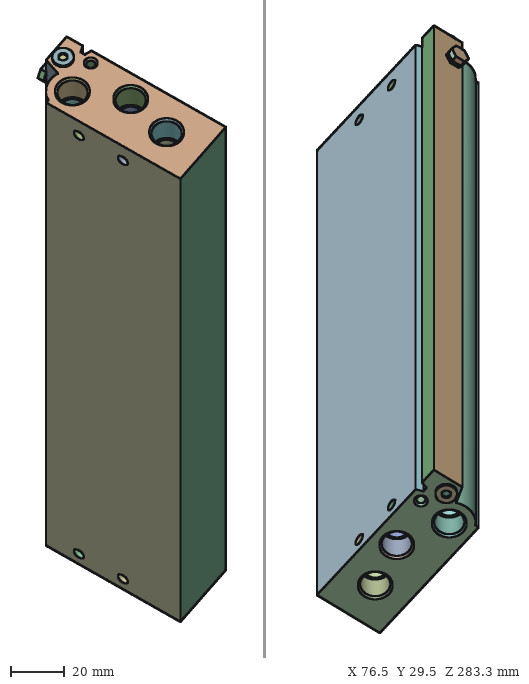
import cadquery as cq
import math

TOTAL_WIDTH = 76.5
TOTAL_LENGTH = 283.3
DEPTH = 29.5
SIDE_PLUG_HEIGHT = 3.7
END_PLUG_HEIGHT = 2.0
BLOCK_LENGTH = TOTAL_LENGTH - 2 * END_PLUG_HEIGHT
BLOCK_TOP = BLOCK_LENGTH / 2
BLOCK_LEFT = SIDE_PLUG_HEIGHT

BORE_CENTRES = [(20.0, 10.0), (40.0, 19.5), (59.8, 14.7)]
BORE_DIAMETER = 9.5
BORE_END_DIAMETER = 11.3
BORE_END_DEPTH = 11.3
BORE_MOUTH_DIAMETER = 13.0
BORE_MOUTH_DEPTH = (BORE_MOUTH_DIAMETER - BORE_END_DIAMETER) / 2

SHOULDER_RADIUS = 10.0
SHOULDER_TOP_Y = 13.5
SHOULDER_BOTTOM_Y = 1.7
FRONT_FACE_LEFT = 15.0
LEDGE_Y = 16.1

GROOVE_CENTRE_X = 13.0
GROOVE_MOUTH = 4.0
GROOVE_FLOOR = 2.0
GROOVE_DEPTH = 2.8

CHANNEL_CENTRE = (18.0, 24.6)
CHANNEL_DIAMETER = 3.5
CHANNEL_MOUTH_DIAMETER = 5.0
CHANNEL_MOUTH_DEPTH = (CHANNEL_MOUTH_DIAMETER - CHANNEL_DIAMETER) / 2

MOUNTING_HOLE_DIAMETER = 4.5
MOUNTING_HOLE_XS = (30.0, 50.1)
MOUNTING_HOLE_TOP_DISTANCE = 9.0
MOUNTING_HOLE_BOTTOM_DISTANCE = 6.5

PLUG_CENTRE_Y = 19.8
END_PLUG_X = 8.8
END_PLUG_DIAMETER = 8.2
END_PLUG_NECK_DIAMETER = 6.8
END_PLUG_NECK_LENGTH = 1.0
SOCKET_DIAMETER = 3.5
SOCKET_DEPTH = END_PLUG_HEIGHT - END_PLUG_NECK_LENGTH

SIDE_PLUG_CORNERS = 8.0
SIDE_PLUG_NECK_DIAMETER = 6.8
SIDE_PLUG_NECK_START = 0.5
SIDE_PLUG_NECK_LENGTH = 0.5
SIDE_PLUG_TOP_DISTANCE = 14.0


def shoulder_point(y):
    """Point on the left half of the shoulder circle at height y."""
    centre_x, centre_y = BORE_CENTRES[0]
    return centre_x - math.sqrt(SHOULDER_RADIUS**2 - (y - centre_y) ** 2), y


def block_blank():
    """Constant cross-section of the block, extruded over its length."""
    shoulder_left = (BORE_CENTRES[0][0] - SHOULDER_RADIUS, BORE_CENTRES[0][1])
    shoulder_bottom = shoulder_point(SHOULDER_BOTTOM_Y)
    return (
        cq.Workplane("XY", origin=(0, 0, -BLOCK_TOP))
        .moveTo(TOTAL_WIDTH, 0)
        .lineTo(TOTAL_WIDTH, DEPTH)
        .lineTo(GROOVE_CENTRE_X + GROOVE_MOUTH / 2, DEPTH)
        .lineTo(GROOVE_CENTRE_X + GROOVE_FLOOR / 2, DEPTH - GROOVE_DEPTH)
        .lineTo(GROOVE_CENTRE_X - GROOVE_FLOOR / 2, DEPTH - GROOVE_DEPTH)
        .lineTo(GROOVE_CENTRE_X - GROOVE_MOUTH / 2, DEPTH)
        .lineTo(BLOCK_LEFT, DEPTH)
        .lineTo(BLOCK_LEFT, LEDGE_Y)
        .lineTo(*shoulder_point(SHOULDER_TOP_Y))
        .threePointArc(shoulder_left, shoulder_bottom)
        .lineTo(FRONT_FACE_LEFT, SHOULDER_BOTTOM_Y)
        .lineTo(FRONT_FACE_LEFT, 0)
        .close()
        .extrude(BLOCK_LENGTH)
    )


def revolved_hole(centre, steps):
    """Cutter along Z, alike at both ends. Steps are (diameter, Z) pairs going up from mid-length."""
    upper = [(diameter / 2, z) for diameter, z in steps]
    lower = [(radius, -z) for radius, z in reversed(upper)]
    profile = [(0, -BLOCK_TOP), *lower, *upper, (0, BLOCK_TOP)]
    return (
        cq.Workplane("XZ", origin=(centre[0], centre[1], 0))
        .polyline(profile)
        .close()
        .revolve(360, (0, 0, 0), (0, 1, 0))
    )


def channel():
    """Cutter for the small channel, with a conical mouth at both ends of the block."""
    return revolved_hole(
        CHANNEL_CENTRE,
        [
            (CHANNEL_DIAMETER, BLOCK_TOP - CHANNEL_MOUTH_DEPTH),
            (CHANNEL_MOUTH_DIAMETER, BLOCK_TOP),
        ],
    )


def main_bore(centre):
    """Cutter for a main bore, widened near both ends and countersunk at its mouths."""
    return revolved_hole(
        centre,
        [
            (BORE_DIAMETER, BLOCK_TOP - BORE_END_DEPTH),
            (BORE_END_DIAMETER, BLOCK_TOP - BORE_END_DEPTH),
            (BORE_END_DIAMETER, BLOCK_TOP - BORE_MOUTH_DEPTH),
            (BORE_MOUTH_DIAMETER, BLOCK_TOP),
        ],
    )


def mounting_holes():
    """Cutters for the four holes through the depth, two near each end."""
    hole_zs = (MOUNTING_HOLE_BOTTOM_DISTANCE - BLOCK_TOP, BLOCK_TOP - MOUNTING_HOLE_TOP_DISTANCE)
    places = [(x, z) for x in MOUNTING_HOLE_XS for z in hole_zs]
    return (
        cq.Workplane("XZ")
        .pushPoints(places)
        .circle(MOUNTING_HOLE_DIAMETER / 2)
        .extrude(-DEPTH)
    )


def make_block():
    block = block_blank()
    for centre in BORE_CENTRES:
        block = block.cut(main_bore(centre))
    block = block.cut(channel())
    return block.cut(mounting_holes())


def make_end_plug(end):
    """Round plug seated on the top (end = 1) or bottom (end = -1) face, socket facing outward."""
    seat = cq.Plane(origin=(END_PLUG_X, PLUG_CENTRE_Y, end * BLOCK_TOP), xDir=(1, 0, 0), normal=(0, 0, end))
    neck = cq.Workplane(seat).circle(END_PLUG_NECK_DIAMETER / 2).extrude(END_PLUG_NECK_LENGTH)
    head = (
        cq.Workplane(seat)
        .workplane(offset=END_PLUG_NECK_LENGTH)
        .circle(END_PLUG_DIAMETER / 2)
        .extrude(END_PLUG_HEIGHT - END_PLUG_NECK_LENGTH)
    )
    socket = (
        cq.Workplane(seat)
        .workplane(offset=END_PLUG_HEIGHT - SOCKET_DEPTH)
        .circle(SOCKET_DIAMETER / 2)
        .extrude(SOCKET_DEPTH)
    )
    return neck.union(head).cut(socket)


def make_side_plug():
    """Hexagonal plug seated on the left face, with corners pointing along Y."""
    seat = cq.Plane(
        origin=(BLOCK_LEFT, PLUG_CENTRE_Y, BLOCK_TOP - SIDE_PLUG_TOP_DISTANCE),
        xDir=(0, -1, 0),
        normal=(-1, 0, 0),
    )
    plug = cq.Workplane(seat).polygon(6, SIDE_PLUG_CORNERS).extrude(SIDE_PLUG_HEIGHT)
    groove = (
        cq.Workplane(seat)
        .workplane(offset=SIDE_PLUG_NECK_START)
        .circle(SIDE_PLUG_CORNERS)
        .circle(SIDE_PLUG_NECK_DIAMETER / 2)
        .extrude(SIDE_PLUG_NECK_LENGTH)
    )
    return plug.cut(groove)


block = make_block()
end_plugs = [make_end_plug(end) for end in (1, -1)]
side_plug = make_side_plug()

result = cq.Compound.makeCompound([block.val(), *[plug.val() for plug in end_plugs], side_plug.val()])